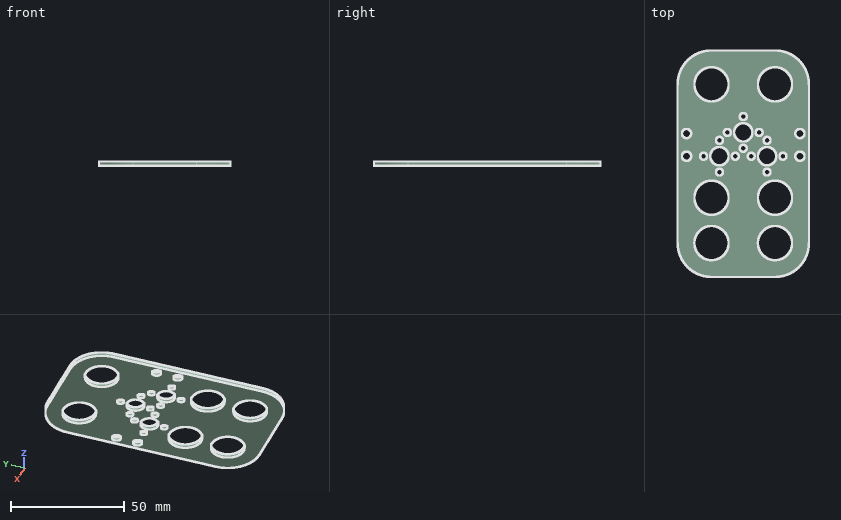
import cadquery as cq

width = 58.0
length = 100.0
thickness = 2.0
corner_radius = 15.0

opening_diameter = 15.0
opening_x = width / 2 - corner_radius
opening_rows = [35.0, -15.0, -35.0]

mount_diameter = 4.0
mount_x = 25.0
lower_mount_y = 3.3
mount_pitch = 10.0
mount_rows = [lower_mount_y, lower_mount_y + mount_pitch]

bore_diameter = 8.0
screw_diameter = 3.0
screw_offset = 7.0
cluster_pitch = 1.5 * screw_offset
lower_cluster_y = lower_mount_y
cluster_centres = [
    (0, lower_cluster_y + cluster_pitch),
    (-cluster_pitch, lower_cluster_y),
    (cluster_pitch, lower_cluster_y),
]


def mirrored_pairs(x, rows):
    """Points at -x and +x on every row."""
    return [(side * x, y) for y in rows for side in (-1, 1)]


def screw_points(centre):
    """Four points around a cluster centre, along X and Y."""
    x, y = centre
    return [
        (x + screw_offset, y),
        (x - screw_offset, y),
        (x, y + screw_offset),
        (x, y - screw_offset),
    ]


def drill(plate, points, diameter):
    """Through holes from the top face."""
    return plate.faces(">Z").workplane(origin=(0, 0, thickness)).pushPoints(points).hole(diameter)


plate = cq.Workplane("XY").box(width, length, thickness, centered=(True, True, False))
plate = plate.edges("|Z").fillet(corner_radius)

plate = drill(plate, mirrored_pairs(opening_x, opening_rows), opening_diameter)
plate = drill(plate, mirrored_pairs(mount_x, mount_rows), mount_diameter)
plate = drill(plate, cluster_centres, bore_diameter)
for centre in cluster_centres:
    plate = drill(plate, screw_points(centre), screw_diameter)

result = plate